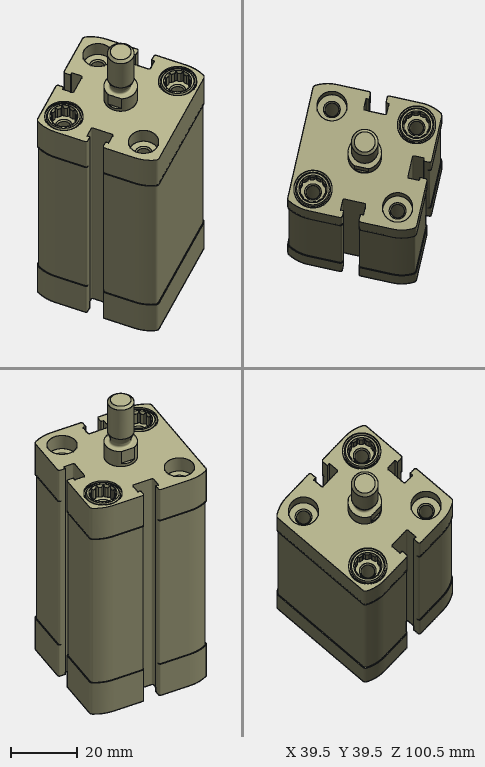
import cadquery as cq
import math

total_height = 100.5
side = 39.5
housing_height = 78.9
half_side = side / 2

cap_height = 12.0
tube_inset = 0.3
corner_radius = 25.0 / 2
hole_offset = 13.0
corner_center_x = hole_offset
corner_edge_round = 1.2

slot_mouth_width = 5.1
slot_inner_width = 7.0
slot_depth = 5.8
slot_lip_depth = 2.3
slot_mouth_round = 0.6
slot_floor_round = 0.5
slot_angles = (0, 90, 180)

hole_diameter = 4.1
hole_rim_diameter = 5.0
plain_recess_depth = 5.0
socket_depth = 4.5
plain_recess_diameter = 9.0

socket_ring_outer_diameter = 11.5
socket_ring_inner_diameter = 10.5
socket_plateau_diameter = 9.7
socket_ring_depth = 0.6
socket_bore_diameter = 7.5
socket_mouth_diameter = 8.4
socket_chamfer_depth = 0.9
spline_count = 12
spline_land_half_angle = 8.0

collar_diameter = 10.0
collar_height = 5.7
flat_width = 9.0
flat_height = 4.4
flat_runout_drop = 0.3
neck_diameter = 6.2
neck_root_fillet = 0.6
neck_height = 1.4
thread_diameter = 8.0
thread_length = 12.0
thread_tip_diameter = neck_diameter
thread_tip_chamfer_height = 0.8
taper_blend_radius = 0.8


def housing_section(height, inset):
    """Prism of the housing with its walls moved in by inset, resting on Z = 0."""
    edge = half_side - inset
    radius = corner_radius - inset
    center_y = half_side - corner_radius
    run_x = edge - corner_center_x
    arc_end_y = center_y + math.sqrt(radius**2 - run_x**2)
    mid_angle = (math.radians(90) + math.atan2(arc_end_y - center_y, run_x)) / 2
    mid_x = corner_center_x + radius * math.cos(mid_angle)
    mid_y = center_y + radius * math.sin(mid_angle)
    prism = (
        cq.Workplane("XY")
        .moveTo(-corner_center_x, edge)
        .lineTo(corner_center_x, edge)
        .threePointArc((mid_x, mid_y), (edge, arc_end_y))
        .lineTo(edge, -arc_end_y)
        .threePointArc((mid_x, -mid_y), (corner_center_x, -edge))
        .lineTo(-corner_center_x, -edge)
        .threePointArc((-mid_x, -mid_y), (-edge, -arc_end_y))
        .lineTo(-edge, arc_end_y)
        .threePointArc((-mid_x, mid_y), (-corner_center_x, edge))
        .close()
        .extrude(height)
        .faces("<X or >X")
        .edges("|Z")
        .fillet(corner_edge_round)
    )
    for angle in slot_angles:
        cutter = slot_cutter(height, edge).rotate((0, 0, 0), (0, 0, 1), angle)
        prism = prism.cut(cutter)
    return prism


def slot_cutter(height, edge):
    """T-slot opening through a wall at Y = edge, with a rounded mouth and rounded floor corners."""
    floor_y = half_side - slot_depth
    lip_y = half_side - slot_lip_depth
    half_mouth = slot_mouth_width / 2
    flare_x = half_mouth + slot_mouth_round
    round_start_y = edge - slot_mouth_round
    quarter = slot_mouth_round * math.sqrt(0.5)
    undercut = (
        cq.Workplane("XY")
        .center(0, (floor_y + lip_y) / 2)
        .rect(slot_inner_width, lip_y - floor_y)
        .extrude(height)
        .edges("|Z and <Y")
        .fillet(slot_floor_round)
    )
    mouth = (
        cq.Workplane("XY")
        .moveTo(-half_mouth, lip_y)
        .lineTo(half_mouth, lip_y)
        .lineTo(half_mouth, round_start_y)
        .threePointArc((flare_x - quarter, round_start_y + quarter), (flare_x, edge))
        .lineTo(-flare_x, edge)
        .threePointArc((-flare_x + quarter, round_start_y + quarter), (-half_mouth, round_start_y))
        .close()
        .extrude(height)
    )
    return undercut.union(mouth)


def cone(bottom_diameter, top_diameter, bottom_z, top_z):
    """Upright frustum on the Z axis."""
    return cq.Workplane("XY").add(
        cq.Solid.makeCone(bottom_diameter / 2, top_diameter / 2, top_z - bottom_z, cq.Vector(0, 0, bottom_z))
    )


def cylinder(diameter, bottom_z, top_z):
    """Upright cylinder on the Z axis."""
    return cq.Workplane("XY", origin=(0, 0, bottom_z)).circle(diameter / 2).extrude(top_z - bottom_z)


def through_hole_cutter(recess_depth):
    """Through hole with a chamfered rim at the floor of its recess."""
    rim_z = housing_height - recess_depth
    rim_depth = (hole_rim_diameter - hole_diameter) / 2
    rim = cone(hole_diameter, hole_rim_diameter, rim_z - rim_depth, rim_z)
    return cylinder(hole_diameter, 0, rim_z).union(rim)


def plain_recess_cutter():
    """Plain round recess above a through hole."""
    return cylinder(plain_recess_diameter, housing_height - plain_recess_depth, housing_height)


def socket_cutter():
    """Splined bore with a chamfered mouth, inside a shallow ring groove with a sloping inner wall."""
    floor_z = housing_height - socket_depth
    ring_z = housing_height - socket_ring_depth
    land_radius = socket_bore_diameter / 2
    root_radius = socket_mouth_diameter / 2
    pitch = 360 / spline_count
    outline = []
    for index in range(spline_count):
        middle = (index + 0.5) * pitch
        for radius, angle in (
            (land_radius, middle - spline_land_half_angle),
            (land_radius, middle + spline_land_half_angle),
            (root_radius, middle + pitch / 2),
        ):
            turn = math.radians(angle)
            outline.append((radius * math.cos(turn), radius * math.sin(turn)))
    bore = cq.Workplane("XY", origin=(0, 0, floor_z)).polyline(outline).close().extrude(socket_depth)
    mouth = cone(
        socket_bore_diameter, socket_mouth_diameter, housing_height - socket_chamfer_depth, housing_height
    )
    ring = cylinder(socket_ring_outer_diameter, ring_z, housing_height).cut(
        cone(socket_ring_inner_diameter, socket_plateau_diameter, ring_z, housing_height)
    )
    return bore.union(mouth).union(ring)


def make_housing():
    """Tube between two slightly larger end caps, with slots and four mounting holes."""
    upper_cap_z = housing_height - cap_height
    body = housing_section(cap_height, 0)
    body = body.union(housing_section(upper_cap_z - cap_height, tube_inset).translate((0, 0, cap_height)))
    body = body.union(housing_section(cap_height, 0).translate((0, 0, upper_cap_z)))
    for side_x in (-1, 1):
        for side_y in (-1, 1):
            place = (side_x * hole_offset, side_y * hole_offset, 0)
            splined = side_x == side_y
            recess = socket_cutter() if splined else plain_recess_cutter()
            hole = through_hole_cutter(socket_depth if splined else plain_recess_depth)
            body = body.cut(hole.translate(place))
            body = body.cut(recess.translate(place))
    return body


def make_rod():
    """Collar with two wrench flats, a relieved neck and a threaded end, standing on the housing."""
    collar_top_z = housing_height + collar_height
    neck_top_z = collar_top_z + neck_height
    thread_z = total_height - thread_length
    tip_z = total_height - thread_tip_chamfer_height
    neck_radius = neck_diameter / 2
    thread_radius = thread_diameter / 2
    rod = (
        cq.Workplane("XZ")
        .moveTo(0, housing_height)
        .lineTo(collar_diameter / 2, housing_height)
        .lineTo(collar_diameter / 2, collar_top_z)
        .lineTo(neck_radius, collar_top_z)
        .lineTo(neck_radius, neck_top_z)
        .lineTo(thread_radius, thread_z)
        .lineTo(thread_radius, tip_z)
        .lineTo(thread_tip_diameter / 2, total_height)
        .lineTo(0, total_height)
        .close()
        .revolve(360, (0, 0, 0), (0, 1, 0))
    )
    rod = fillet_neck_edge(rod, collar_top_z, neck_root_fillet)
    rod = fillet_neck_edge(rod, neck_top_z, taper_blend_radius)
    for direction in (-1, 1):
        rod = rod.cut(flat_cutter(direction, collar_top_z))
    return rod


def fillet_neck_edge(rod, height, radius):
    """Round the circular edge at one end of the neck."""
    reach = (neck_diameter + collar_diameter) / 4
    margin = 0.1
    box = cq.selectors.BoxSelector(
        (-reach, -reach, height - margin), (reach, reach, height + margin), boundingbox=True
    )
    return rod.edges(box).fillet(radius)


def flat_cutter(direction, top_z):
    """Wrench flat facing along Y, whose lower end slopes down toward the outside."""
    flat_y = flat_width / 2
    outer_y = collar_diameter / 2
    bottom_z = top_z - flat_height
    return (
        cq.Workplane("YZ")
        .moveTo(direction * flat_y, top_z)
        .lineTo(direction * flat_y, bottom_z)
        .lineTo(direction * outer_y, bottom_z - flat_runout_drop)
        .lineTo(direction * outer_y, top_z)
        .close()
        .extrude(collar_diameter / 2, both=True)
    )


housing = make_housing()
rod = make_rod()

result = cq.Compound.makeCompound([housing.val(), rod.val()])